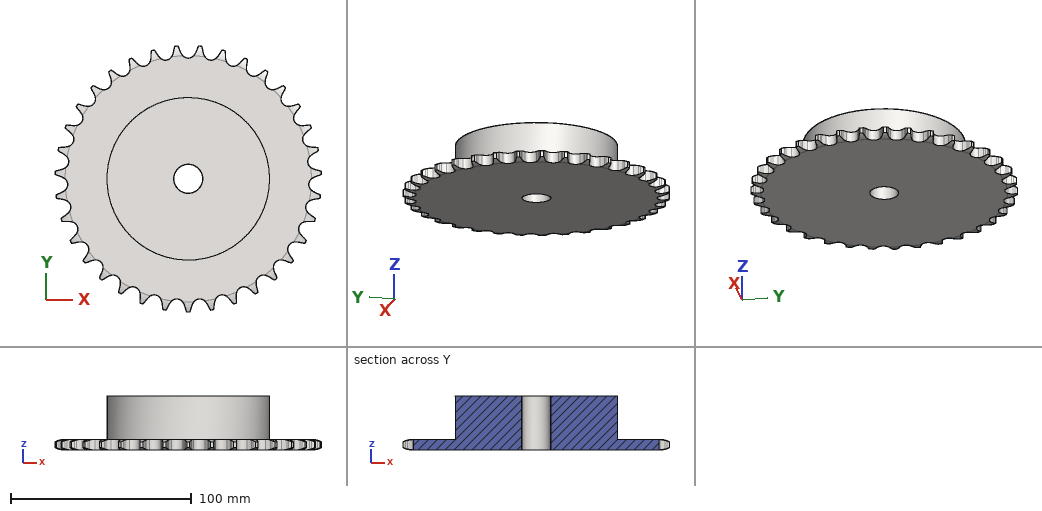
import cadquery as cq
import math

TOOTH_COUNT = 35
PITCH_DIAMETER = 141.8
OVERALL_WIDTH = 147.5
WIDEST_CORNER_ANGLE = 2.0
SEAT_CLEARANCE = 0.05

PLATE_THICKNESS = 5.9
SIDE_FACE_DIAMETER = 136.3
TIP_THICKNESS = 3.2

HUB_DIAMETER = 90.0
BORE_DIAMETER = 16.0
TOTAL_HEIGHT = 30.0

ROLLER_TO_PITCH = 5 / 8
SEAT_TO_ROLLER = 1.005 / 2
HOLLOW_CENTRE_TO_ROLLER = 0.8
CROWN_CENTRE_TO_ROLLER = 1.4
SEAT_END_ANGLE = 35 + 60 / TOOTH_COUNT
HOLLOW_SWEEP_ANGLE = 18 - 56 / TOOTH_COUNT

TOOTH_ANGLE = 360 / TOOTH_COUNT
HALF_TOOTH_ANGLE = TOOTH_ANGLE / 2
PITCH_RADIUS = PITCH_DIAMETER / 2
TIP_RADIUS = OVERALL_WIDTH / 2 / math.cos(math.radians(WIDEST_CORNER_ANGLE))
SIDE_FACE_RADIUS = SIDE_FACE_DIAMETER / 2
CHAIN_PITCH = PITCH_DIAMETER * math.sin(math.radians(HALF_TOOTH_ANGLE))
ROLLER_DIAMETER = ROLLER_TO_PITCH * CHAIN_PITCH
SEAT_RADIUS = SEAT_TO_ROLLER * ROLLER_DIAMETER + SEAT_CLEARANCE
SIDE_RELIEF = (PLATE_THICKNESS - TIP_THICKNESS) / 2


def relieved_disc():
    """Disc at the tooth tip diameter, its side faces curving inwards towards the rim."""
    relief_width = TIP_RADIUS - SIDE_FACE_RADIUS
    curve_radius = (relief_width**2 + SIDE_RELIEF**2) / (2 * SIDE_RELIEF)
    middle_radius = SIDE_FACE_RADIUS + relief_width / 2
    middle_relief = curve_radius - math.sqrt(curve_radius**2 - (relief_width / 2) ** 2)
    profile = (
        cq.Workplane("XZ")
        .lineTo(SIDE_FACE_RADIUS, 0)
        .threePointArc((middle_radius, middle_relief), (TIP_RADIUS, SIDE_RELIEF))
        .lineTo(TIP_RADIUS, PLATE_THICKNESS - SIDE_RELIEF)
        .threePointArc(
            (middle_radius, PLATE_THICKNESS - middle_relief),
            (SIDE_FACE_RADIUS, PLATE_THICKNESS),
        )
        .lineTo(0, PLATE_THICKNESS)
        .close()
    )
    return profile.revolve(360, (0, 0), (0, 1))


def polar(centre, radius, degrees):
    """Point at the given distance and direction from a centre."""
    angle = math.radians(degrees)
    return (centre[0] + radius * math.cos(angle), centre[1] + radius * math.sin(angle))


def tooth_gap():
    """Cutter for the gap centred on +Y: roller seat, hollow arc, short flat and crown arc."""
    seat_centre = (0, PITCH_RADIUS)
    root = polar(seat_centre, SEAT_RADIUS, -90)
    seat_middle = polar(seat_centre, SEAT_RADIUS, -(90 + SEAT_END_ANGLE) / 2)
    seat_end = polar(seat_centre, SEAT_RADIUS, -SEAT_END_ANGLE)

    hollow_offset = HOLLOW_CENTRE_TO_ROLLER * ROLLER_DIAMETER
    hollow_centre = polar(seat_centre, hollow_offset, 180 - SEAT_END_ANGLE)
    hollow_radius = hollow_offset + SEAT_RADIUS
    hollow_middle = polar(hollow_centre, hollow_radius, HOLLOW_SWEEP_ANGLE / 2 - SEAT_END_ANGLE)
    flat_normal = HOLLOW_SWEEP_ANGLE - SEAT_END_ANGLE
    flat_start = polar(hollow_centre, hollow_radius, flat_normal)

    crown_offset = CROWN_CENTRE_TO_ROLLER * ROLLER_DIAMETER
    crown_centre = polar(seat_centre, crown_offset, -HALF_TOOTH_ANGLE)
    normal_x, normal_y = polar((0, 0), 1, flat_normal)
    crown_radius = (
        (crown_centre[0] - flat_start[0]) * normal_x
        + (crown_centre[1] - flat_start[1]) * normal_y
    )
    flat_end = polar(crown_centre, crown_radius, flat_normal + 180)

    crown_distance = math.hypot(*crown_centre)
    crown_direction = math.degrees(math.atan2(crown_centre[1], crown_centre[0]))
    tip_offset = math.degrees(math.acos(
        (TIP_RADIUS**2 + crown_distance**2 - crown_radius**2) / (2 * TIP_RADIUS * crown_distance)
    ))
    tip = polar((0, 0), TIP_RADIUS, crown_direction + tip_offset)
    tip_normal = math.degrees(math.atan2(tip[1] - crown_centre[1], tip[0] - crown_centre[0]))
    crown_middle = polar(crown_centre, crown_radius, (flat_normal + 180 + tip_normal) / 2)
    outside_y = TIP_RADIUS + SEAT_RADIUS

    return (
        cq.Workplane("XY")
        .moveTo(*root)
        .threePointArc(seat_middle, seat_end)
        .threePointArc(hollow_middle, flat_start)
        .lineTo(*flat_end)
        .threePointArc(crown_middle, tip)
        .lineTo(tip[0], outside_y)
        .lineTo(0, outside_y)
        .mirrorY()
        .extrude(PLATE_THICKNESS)
    )


def toothed_plate():
    """Relieved disc with the gaps cut evenly around its rim."""
    gap = tooth_gap().val()
    gaps = [gap.rotate((0, 0, 0), (0, 0, 1), i * TOOTH_ANGLE) for i in range(TOOTH_COUNT)]
    return relieved_disc().cut(cq.Workplane(cq.Compound.makeCompound(gaps)))


hub = cq.Workplane("XY").circle(HUB_DIAMETER / 2).extrude(TOTAL_HEIGHT)
bore = cq.Workplane("XY").circle(BORE_DIAMETER / 2).extrude(TOTAL_HEIGHT)

result = toothed_plate().union(hub).cut(bore)